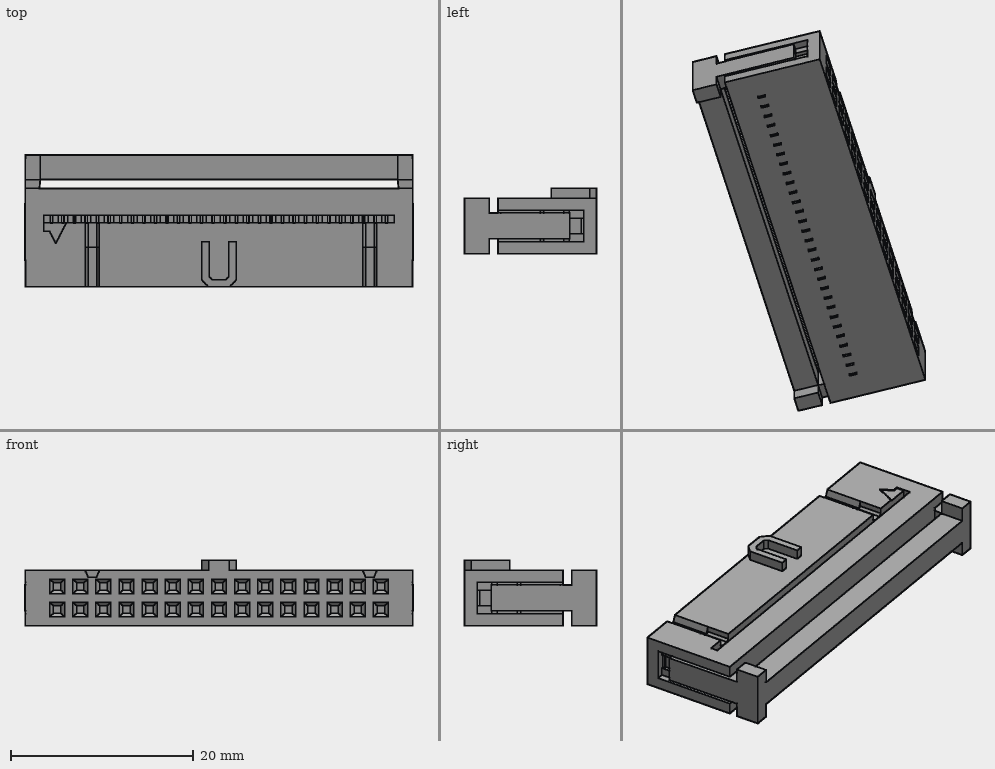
import cadquery as cq


total_length = 42.7
body_length = 42.57
body_depth = 10.85
total_depth = 14.5
body_height = 6.1
total_height = 7.2
mid_height = body_height / 2

columns = 15
row_length = 35.55
contact_pitch = row_length / (columns - 1)
opening_side = 1.62
opening_bottom_side = 0.8
opening_depth = 0.4

wire_pitch = contact_pitch / 2
slit_length = 38.5
slit_front = 7.05
slit_width = 0.8
comb_gap = 0.2
wide_tooth = 0.65
wide_tooth_drop = 1.3
narrow_tooth_drop = 1.7

mark_depth = 0.13
mark_tip_x = -17.95
mark_tip_y = 4.8
mark_half_width = 1.15
mark_notch_y = 6.15

groove_shift = 1.32
groove_spacing = 12 * contact_pitch
groove_depth = 0.75
groove_top = 1.55
groove_floor = 0.95
groove_rear_wall = 0.65
groove_rear_depth = 0.9
groove_step_y = 4.35

key_width = 3.8
key_length = 5.0
key_wall = 0.8
key_outer_chamfer = 0.75
key_inner_chamfer = 0.35

recess_front = 1.4
recess_height = 3.5
recess_tip_depth = 0.75
recess_mid_depth = 1.2
recess_rear_depth = 1.55
tip_ramp_front = 3.0
tip_ramp_rear = 3.65
rear_ramp_front = 5.8
rear_ramp_rear = 6.2
window_length = 2.15
window_height = 1.7
window_depth = 0.43
window_step = 0.25
window_step_depth = 0.2

bar_front = 11.8
post_width = 1.65
arm_height = 2.85
arm_tip_y = 2.95


def box(x_min, x_max, y_min, y_max, z_min, z_max):
    """Box given by its limits."""
    size = (x_max - x_min, y_max - y_min, z_max - z_min)
    return cq.Workplane().box(*size, centered=False).translate((x_min, y_min, z_min))


def plan_prism(points, z_middle, height):
    """Prism with an outline in X and Y, centred in height on z_middle."""
    return cq.Workplane(origin=(0, 0, z_middle)).polyline(points).close().extrude(height / 2, both=True)


def on_both_ends(solid):
    """The solid together with its mirror image at the other end."""
    return solid.union(solid.mirror("YZ"))


def contact_openings():
    """Shallow square funnels in two rows on the mating face."""
    funnel = (
        cq.Workplane()
        .rect(opening_side, opening_side)
        .workplane(offset=-opening_depth)
        .rect(opening_bottom_side, opening_bottom_side)
        .loft(ruled=True)
    )
    mating_face = cq.Workplane("XZ", origin=(0, 0, mid_height))
    grid = mating_face.rarray(contact_pitch, contact_pitch, columns, 2)
    return grid.eachpoint(funnel.val(), useLocalCoordinates=True, combine=True)


def wire_slit():
    """Slit over a comb: stepped teeth parted by gaps that pass right through."""
    slit_rear = slit_front + slit_width
    half = slit_length / 2

    def slot(x_min, x_max, z_min):
        return box(x_min, x_max, slit_front, slit_rear, z_min, body_height)

    slit = slot(-half, half, body_height - wide_tooth_drop)
    teeth = 2 * columns - 1
    for index in range(teeth + 1):
        gap_x = (index - teeth / 2) * wire_pitch
        slit = slit.union(slot(gap_x - comb_gap / 2, gap_x + comb_gap / 2, 0))
    for index in range(teeth):
        tooth_x = (index - columns + 1) * wire_pitch
        side = 1 if index % 2 == 0 else -1
        tooth_edge = tooth_x + side * wire_pitch / 2
        step_edge = tooth_x - side * (wire_pitch / 2 - comb_gap / 2 - wide_tooth)
        limits = sorted((tooth_edge, step_edge))
        slit = slit.union(slot(*limits, body_height - narrow_tooth_drop))
    return slit


def first_contact_mark():
    """Shallow triangle pointing forward, with a notch at the end of the slit."""
    triangle = [
        (mark_tip_x, mark_tip_y),
        (mark_tip_x + mark_half_width, slit_front),
        (mark_tip_x - mark_half_width, slit_front),
    ]
    mark = plan_prism(triangle, body_height, 2 * mark_depth)
    floor = body_height - mark_depth
    return mark.union(box(-slit_length / 2, mark_tip_x, mark_notch_y, slit_front, floor, body_height))


def top_groove(centre_x):
    """Groove from the mating face to the slit, sloped in front and with upright upper walls behind."""

    def section(half_profile, y_min, y_max):
        right = [(centre_x + x, body_height - depth) for x, depth in half_profile]
        left = [(centre_x - x, body_height - depth) for x, depth in reversed(half_profile)]
        outline = cq.Workplane("XZ", origin=(0, y_min, 0)).polyline(right + left).close()
        return outline.extrude(y_min - y_max)

    top = (groove_top / 2, 0)
    wall_foot = (groove_top / 2, groove_rear_wall)
    front_floor = (groove_floor / 2, groove_depth)
    rear_floor = (groove_floor / 2, groove_rear_depth)
    front = section([top, front_floor], 0, groove_step_y)
    return front.union(section([top, wall_foot, rear_floor], groove_step_y, slit_front))


def key():
    """U-shaped rib on the top face, closed at the mating face."""
    outer = box(-key_width / 2, key_width / 2, 0, key_length, body_height, total_height)
    outer = outer.edges("|Z and <Y").chamfer(key_outer_chamfer)
    inner_half = key_width / 2 - key_wall
    inner = box(-inner_half, inner_half, key_wall, key_length, body_height, total_height)
    return outer.cut(inner.edges("|Z and <Y").chamfer(key_inner_chamfer))


def latch_recess():
    """Side recess for a latch arm, stepped shallower toward the front, with a window in its floor."""
    face = body_length / 2
    floor = [
        (face, recess_front),
        (face - recess_tip_depth, recess_front),
        (face - recess_tip_depth, tip_ramp_front),
        (face - recess_mid_depth, tip_ramp_rear),
        (face - recess_mid_depth, rear_ramp_front),
        (face - recess_rear_depth, rear_ramp_rear),
        (face - recess_rear_depth, body_depth),
        (face, body_depth),
    ]
    recess = plan_prism(floor, mid_height, recess_height)
    z_min = mid_height - window_height / 2
    z_max = mid_height + window_height / 2
    window_floor = face - recess_tip_depth - window_depth
    step_floor = face - recess_tip_depth - window_step_depth
    step_y = recess_front + window_step
    window = box(window_floor, face, step_y, recess_front + window_length, z_min, z_max)
    return recess.union(window).union(box(step_floor, face, recess_front, step_y, z_min, z_max))


def strain_relief():
    """Low bar with a full-height post at each end and latch arms splaying outward to the front."""
    half = body_length / 2
    inner = half - post_width
    arm_bottom = mid_height - arm_height / 2
    arm_top = mid_height + arm_height / 2
    bar = box(-inner, inner, bar_front, total_depth, arm_bottom, arm_top)

    splay = (total_length - body_length) / 2
    post_splay = splay * (total_depth - bar_front) / (total_depth - arm_tip_y)
    post_outline = [
        (inner, total_depth),
        (half, total_depth),
        (half + post_splay, bar_front),
        (inner, bar_front),
    ]
    post = plan_prism(post_outline, mid_height, body_height)
    arm_outline = [
        (inner, bar_front),
        (half + post_splay, bar_front),
        (half + splay, arm_tip_y),
        (half - recess_tip_depth, arm_tip_y),
    ]
    arm = plan_prism(arm_outline, mid_height, arm_height)
    return bar.union(on_both_ends(post.union(arm)))


body = box(-body_length / 2, body_length / 2, 0, body_depth, 0, body_height)
body = body.cut(on_both_ends(latch_recess()))
body = body.cut(contact_openings())
body = body.cut(wire_slit()).cut(first_contact_mark())
for side in (-1, 1):
    body = body.cut(top_groove(side * groove_spacing / 2 + groove_shift))

result = body.union(key()).union(strain_relief())